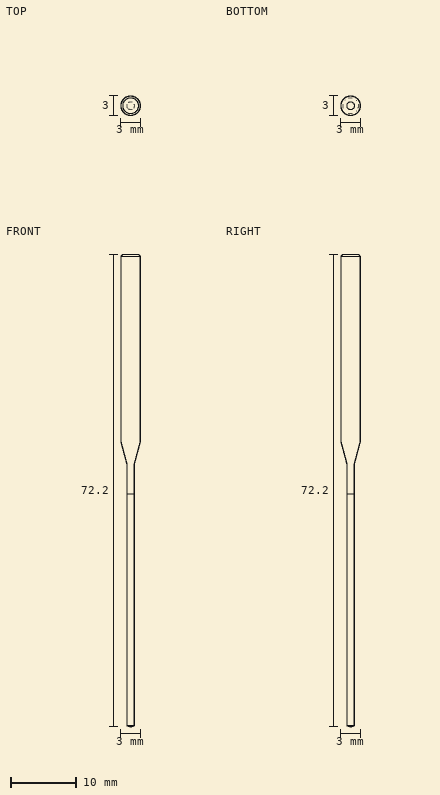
import cadquery as cq
import math

total_length = 72.21
shank_diameter = 3.0
drill_diameter = 1.18
shank_length = 28.6
shank_end_chamfer = 0.3

point_angle = 140.0
taper_half_angle = 15.0
cutting_end_z = 35.6

shank_radius = shank_diameter / 2
drill_radius = drill_diameter / 2
point_height = drill_radius / math.tan(math.radians(point_angle / 2))
shank_start_z = total_length - shank_length
taper_height = (shank_radius - drill_radius) / math.tan(math.radians(taper_half_angle))
taper_start_z = shank_start_z - taper_height


def revolve_profile(points):
    """Turn a closed (radius, z) outline about the Z axis."""
    return cq.Workplane("XZ").polyline(points).close().revolve(360, (0, 0, 0), (0, 1, 0))


def make_cutting_part():
    """Slender cylinder with a shallow conical point."""
    return revolve_profile([
        (0, 0),
        (drill_radius, point_height),
        (drill_radius, cutting_end_z),
        (0, cutting_end_z),
    ])


def make_shank():
    """Neck, taper and chamfered clamping shank above the cutting part."""
    return revolve_profile([
        (0, cutting_end_z),
        (drill_radius, cutting_end_z),
        (drill_radius, taper_start_z),
        (shank_radius, shank_start_z),
        (shank_radius, total_length - shank_end_chamfer),
        (shank_radius - shank_end_chamfer, total_length),
        (0, total_length),
    ])


cutting_part = make_cutting_part()
shank = make_shank()

result = cq.Compound.makeCompound([cutting_part.val(), shank.val()])